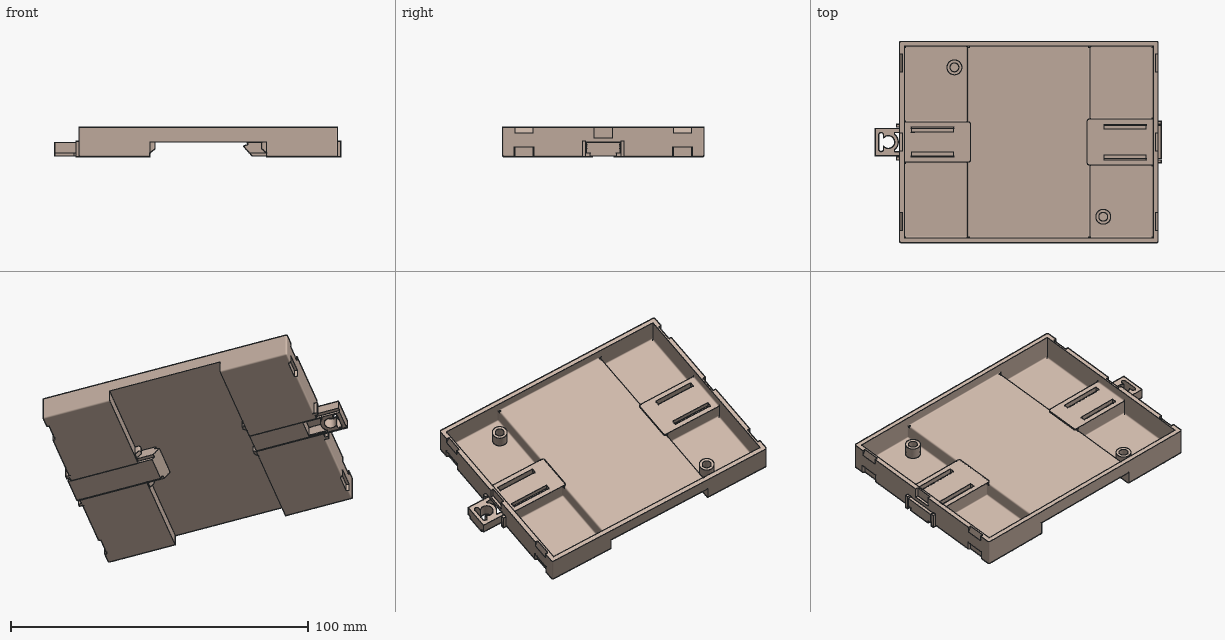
import cadquery as cq
LENGTH = 87.0
WIDTH = 67.8
HEIGHT = 10.0
WALL = 1.6
OUTER_RADIUS = 0.6
TRAY_FLOOR_Z = 6.3
TRAY_FILLET = 0.4

CHANNEL_HALF = 19.6
CHANNEL_Z = 5.0

POCKET_FLOOR_Z = 1.2
POCKET_X = 20.6
POCKET_FILLET = 0.5
POCKET_RIM_RADIUS = 0.6

BOSS_X = 25.0
BOSS_Y = 25.1
BOSS_DIAMETER = 5.0
BOSS_HOLE_DIAMETER = 3.0
BOSS_TOP_Z = 5.3

PAD_TOP_Z = 6.7
PAD_CORNER = 0.7
PAD_WALL_FILLET = 0.5
PAD_SIDE_WALL = 1.7
GUIDE_PROJECTION = 1.1
GUIDE_THICKNESS = 1.1
GUIDE_TOP_Z = 5.3

LIP_TOP_Z = 1.25
LEFT_TUNNEL_HALF = 5.0
RIGHT_TUNNEL_HALF = 6.0
LIP_OVERHANG = 1.4

ROOF_SLOT_X = 25.3
ROOF_SLOT_LENGTH = 14.2
ROOF_SLOT_WIDTH = 1.6

RAIL_STOP_X = 17.9
RAIL_STOP_CORNER = 0.7
RAIL_STOP_LOW_Z = 1.25
RAIL_STOP_HIGH_Z = 2.8

NOTCH_DEPTH = 1.0
NOTCH_Y = 26.7
RAMP_LENGTH = 6.1
RAMP_HEIGHT = 2.0
CENTER_NOTCH_LENGTH = 6.2
CENTER_NOTCH_HEIGHT = 3.6
FOOT_NOTCH_LENGTH = 6.8
FOOT_NOTCH_TAPER = 0.4
FOOT_NOTCH_HEIGHT = 3.3

CLIP_TOP_Z = 4.9
CLIP_BOTTOM_Z = 0.3
CLIP_SIDE_GAP = 0.4
STEM_GAP = 0.1
PULL_CLIP_END_X = -51.7

EYE_X = -47.3
EYE_RADIUS = 2.1
EYE_RING_RADIUS = 3.4
EYE_SLOT_X = -50.45
EYE_SLOT_WIDTH = 1.5
WINDOW_LENGTH = 6.4
WINDOW_START_X = -45.2
WINDOW_END_X = -38.5

BEAK_TIP = (11.7, 3.7)
BEAK_NOTCH = (13.4, 4.2)
BEAK_TOP_X = 13.0
BEAK_BOTTOM_X = 14.7

HALF_LENGTH = LENGTH / 2
INNER_X = HALF_LENGTH - WALL
INNER_Y = WIDTH / 2 - WALL
GUIDE_END_X = HALF_LENGTH + GUIDE_PROJECTION
LEFT = -1
RIGHT = 1
ENDS = (-1, 1)
CHANNEL_EDGES = {LEFT: "|Z and >X", RIGHT: "|Z and <X"}
SIDES = ((LEFT, LEFT_TUNNEL_HALF), (RIGHT, RIGHT_TUNNEL_HALF))


def block(x0, x1, y0, y1, z0, z1):
    """Box between two opposite corners; each pair may be given in either order."""
    size = (abs(x1 - x0), abs(y1 - y0), abs(z1 - z0))
    return cq.Workplane().box(*size).translate(((x0 + x1) / 2, (y0 + y1) / 2, (z0 + z1) / 2))


def side_profile(points, half_width):
    """XZ outline extruded to both sides of the XZ plane."""
    return cq.Workplane("XZ").polyline(points).close().extrude(half_width, both=True)


def tray():
    """Rounded outer block with its open cavity and the channel for the rail."""
    body = block(-HALF_LENGTH, HALF_LENGTH, -WIDTH / 2, WIDTH / 2, 0, HEIGHT)
    body = body.edges("|Z").fillet(OUTER_RADIUS).faces("<Z").edges().fillet(OUTER_RADIUS)
    cavity = block(-INNER_X, INNER_X, -INNER_Y, INNER_Y, TRAY_FLOOR_Z, HEIGHT)
    cavity = cavity.faces("<Z").edges().fillet(TRAY_FILLET)
    channel = block(-CHANNEL_HALF, CHANNEL_HALF, -WIDTH / 2, WIDTH / 2, 0, CHANNEL_Z)
    return body.cut(cavity).cut(channel)


def pocket(side, end, pad_half):
    """Deep pocket in one foot, beside a pad, rounded at its floor and next to the channel."""
    y0 = end * pad_half
    y1 = end * INNER_Y
    hollow = block(side * POCKET_X, side * INNER_X, y0, y1, POCKET_FLOOR_Z, TRAY_FLOOR_Z + TRAY_FILLET)
    hollow = hollow.edges(CHANNEL_EDGES[side]).fillet(POCKET_FILLET)
    return hollow.faces("<Z").edges().fillet(POCKET_FILLET)


def pocket_rim(side, end, pad_half):
    """Cut that rounds the long edge between a pocket and the tray floor."""
    rim_x = POCKET_X - POCKET_RIM_RADIUS
    rim_z = TRAY_FLOOR_Z - POCKET_RIM_RADIUS
    y0 = end * pad_half
    y1 = end * INNER_Y
    corner = block(side * rim_x, side * POCKET_X, y0, y1, rim_z, TRAY_FLOOR_Z)
    round_edge = cq.Workplane("XZ", origin=(side * rim_x, 0, rim_z)).circle(POCKET_RIM_RADIUS)
    return corner.cut(round_edge.extrude(WIDTH / 2, both=True))


def boss(x, y):
    """Hollow round post on a pocket floor."""
    post = cq.Workplane(origin=(x, y, POCKET_FLOOR_Z)).circle(BOSS_DIAMETER / 2)
    post = post.circle(BOSS_HOLE_DIAMETER / 2)
    return post.extrude(BOSS_TOP_Z - POCKET_FLOOR_Z)


def pad(side, pad_half):
    """Raised roof above a clip tunnel, rounded at its corners next to the tray floor."""
    plate = block(side * CHANNEL_HALF, side * INNER_X, -pad_half, pad_half, CHANNEL_Z, PAD_TOP_Z)
    return plate.edges(CHANNEL_EDGES[side]).fillet(PAD_CORNER)


def pad_wall_fillet(side, pad_half):
    """Concave strip between a pad and the end wall."""
    edge_x = INNER_X - PAD_WALL_FILLET
    edge_z = PAD_TOP_Z + PAD_WALL_FILLET
    strip = block(side * edge_x, side * INNER_X, -pad_half, pad_half, PAD_TOP_Z, edge_z)
    hollow = cq.Workplane("XZ", origin=(side * edge_x, 0, edge_z)).circle(PAD_WALL_FILLET)
    return strip.cut(hollow.extrude(pad_half, both=True))


def guide(side, end, tunnel_half):
    """Upright rib on the end wall, beside a tunnel opening."""
    y_outer = end * (tunnel_half + GUIDE_THICKNESS)
    return block(side * INNER_X, side * GUIDE_END_X, end * tunnel_half, y_outer, 0, GUIDE_TOP_Z)


def doorstep(side, tunnel_half):
    """Square lower corner on the end wall between the two guides of a tunnel."""
    return block(side * INNER_X, side * HALF_LENGTH, -tunnel_half, tunnel_half, 0, LIP_TOP_Z)


def rail_stop(side, pad_half):
    """Wedge at the tunnel mouth that limits the rail sideways."""
    outline = [
        (side * POCKET_X, CHANNEL_Z),
        (side * RAIL_STOP_X, CHANNEL_Z),
        (side * RAIL_STOP_X, RAIL_STOP_HIGH_Z),
        (side * CHANNEL_HALF, RAIL_STOP_LOW_Z),
        (side * POCKET_X, RAIL_STOP_LOW_Z),
    ]
    wedge = side_profile(outline, pad_half)
    return wedge.edges(CHANNEL_EDGES[side]).fillet(RAIL_STOP_CORNER)


def tunnel(side, tunnel_half):
    """Way for a clip from the end wall to the channel, T-shaped in section."""
    lip_half = tunnel_half - LIP_OVERHANG
    start = side * RAIL_STOP_X
    end = side * HALF_LENGTH
    upper = block(start, end, -tunnel_half, tunnel_half, LIP_TOP_Z, CHANNEL_Z)
    return upper.union(block(start, end, -lip_half, lip_half, 0, LIP_TOP_Z))


def roof_slot(side, end, tunnel_half):
    """Narrow opening through a pad, along one side of the tunnel."""
    x_end = ROOF_SLOT_X + ROOF_SLOT_LENGTH
    y_inner = tunnel_half - ROOF_SLOT_WIDTH
    return block(side * ROOF_SLOT_X, side * x_end, end * y_inner, end * tunnel_half, CHANNEL_Z, PAD_TOP_Z)


def ramp_notch(side, y):
    """Sloping cut in the outer edge of the rim."""
    outline = [
        (side * HALF_LENGTH, HEIGHT - RAMP_HEIGHT),
        (side * HALF_LENGTH, HEIGHT),
        (side * (HALF_LENGTH - NOTCH_DEPTH), HEIGHT),
    ]
    return side_profile(outline, RAMP_LENGTH / 2).translate((0, y, 0))


def center_notch(side):
    """Flat recess at the middle of the rim, in the outer face of an end wall."""
    half = CENTER_NOTCH_LENGTH / 2
    x_inner = side * (HALF_LENGTH - NOTCH_DEPTH)
    return block(x_inner, side * HALF_LENGTH, -half, half, HEIGHT - CENTER_NOTCH_HEIGHT, HEIGHT)


def foot_notch(side, y):
    """Recess at the bottom of an end wall, narrowing inwards."""
    half = FOOT_NOTCH_LENGTH / 2
    inner_half = half - FOOT_NOTCH_TAPER
    x_inner = side * (HALF_LENGTH - NOTCH_DEPTH)
    x_outer = side * HALF_LENGTH
    plan = [(x_outer, y - half), (x_outer, y + half), (x_inner, y + inner_half), (x_inner, y - inner_half)]
    return cq.Workplane().polyline(plan).close().extrude(FOOT_NOTCH_HEIGHT)


def make_housing():
    """Tray with pockets, bosses, pads and a clip tunnel in each foot."""
    body = tray()
    for side, tunnel_half in SIDES:
        pad_half = tunnel_half + PAD_SIDE_WALL
        for end in ENDS:
            body = body.cut(pocket(side, end, pad_half)).cut(pocket_rim(side, end, pad_half))
        body = body.union(pad(side, pad_half)).union(pad_wall_fillet(side, pad_half))
        body = body.union(rail_stop(side, pad_half)).union(boss(side * BOSS_X, -side * BOSS_Y))
        body = body.union(doorstep(side, tunnel_half))
        body = body.cut(tunnel(side, tunnel_half)).cut(center_notch(side))
        for end in ENDS:
            body = body.union(guide(side, end, tunnel_half))
            body = body.cut(roof_slot(side, end, tunnel_half))
            body = body.cut(ramp_notch(side, end * NOTCH_Y)).cut(foot_notch(side, end * NOTCH_Y))
    return body


def clip_bar(x0, x1, tunnel_half):
    """Bar of T-shaped section that slides in a tunnel, its stem between the lips."""
    half = tunnel_half - CLIP_SIDE_GAP
    stem_half = tunnel_half - LIP_OVERHANG - STEM_GAP
    bar = block(x0, x1, -half, half, LIP_TOP_Z, CLIP_TOP_Z)
    return bar.union(block(x0, x1, -stem_half, stem_half, CLIP_BOTTOM_Z, LIP_TOP_Z))


def eye_hole():
    """Round hole opening into a cross slot with rounded ends."""
    slot = cq.Workplane().slot2D(WINDOW_LENGTH, EYE_SLOT_WIDTH, 90).extrude(HEIGHT)
    slot = slot.translate((EYE_SLOT_X + EYE_SLOT_WIDTH / 2, 0, 0))
    hole = cq.Workplane().circle(EYE_RADIUS).extrude(HEIGHT).translate((EYE_X, 0, 0))
    return slot.union(hole)


def ring_window():
    """Window behind the eye, bounded by the round outside of the eye ring."""
    half = WINDOW_LENGTH / 2
    opening = block(WINDOW_START_X, WINDOW_END_X, -half, half, 0, HEIGHT)
    ring = cq.Workplane().circle(EYE_RING_RADIUS).extrude(HEIGHT).translate((EYE_X, 0, 0))
    return opening.cut(ring)


def make_pull_clip():
    """Clip drawn out of the housing, with an eye at its outer end."""
    bar = clip_bar(PULL_CLIP_END_X, -CHANNEL_HALF, LEFT_TUNNEL_HALF)
    return bar.cut(eye_hole()).cut(ring_window())


def make_beak_clip():
    """Clip whose beak reaches into the channel to hold the rail."""
    outline = [
        (GUIDE_END_X, CLIP_BOTTOM_Z),
        (BEAK_BOTTOM_X, CLIP_BOTTOM_Z),
        BEAK_TIP,
        BEAK_NOTCH,
        (BEAK_TOP_X, CLIP_TOP_Z),
        (GUIDE_END_X, CLIP_TOP_Z),
    ]
    bar = clip_bar(BEAK_TIP[0], GUIDE_END_X, RIGHT_TUNNEL_HALF)
    return bar.intersect(side_profile(outline, RIGHT_TUNNEL_HALF))


housing = make_housing()
pull_clip = make_pull_clip()
beak_clip = make_beak_clip()

result = cq.Compound.makeCompound([housing.val(), pull_clip.val(), beak_clip.val()])